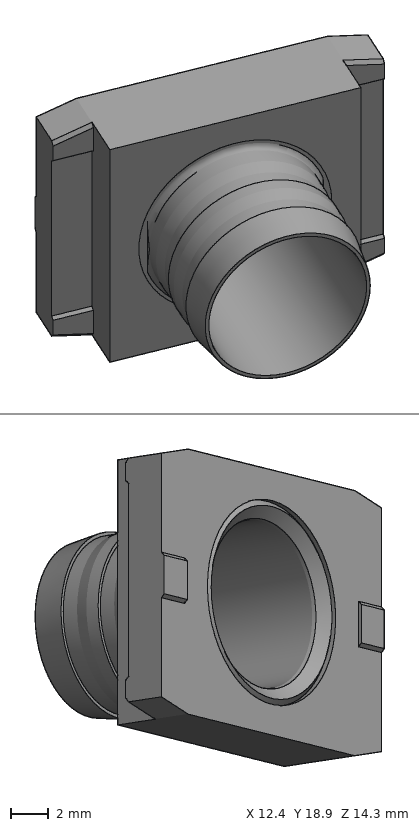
import cadquery as cq
import math

PLATE_WIDTH = 18.9
BLOCK_SIZE = 14.3
BLOCK_DEPTH = 4.75
EAR_DEPTH = 2.4
EAR_END_HEIGHT = 13.15

PAD_RISE = 0.19
PAD_OUTER_RUN = 0.23
PAD_INNER_RUN = 0.15
PAD_FOOT_Z = 5.22

LUG_HEIGHT = 0.19
LUG_LENGTH = 1.98
LUG_BASE_WIDTH = 2.45
LUG_TIP_WIDTH = 2.08

COLLAR_RADIUS = 5.5
BARB_RADIUS = 5.0
NECK_RADIUS = 4.82
TIP_RADIUS = 4.7
BORE_RADIUS = 4.5
NOZZLE_END = 12.2
ROOT_FILLET = 0.28
FIRST_CREST_END = 6.01
CREST_FALL = 0.77
NECK_LENGTH = 0.95
BARB_PITCH = 2.5
BARB_COUNT = 2

RIM_RADIUS = 5.18
COUNTERSINK_RADIUS = 4.55
COUNTERSINK_DEPTH = 0.59
LEAD_IN_DEPTH = 0.77


def make_block():
    return cq.Workplane("XY").box(BLOCK_DEPTH, BLOCK_SIZE, BLOCK_SIZE, centered=(False, True, True))


def ear_outline(inset):
    """Octagonal plate outline in YZ; the inset lowers its top and bottom edges."""
    half_width = PLATE_WIDTH / 2
    half_block = BLOCK_SIZE / 2
    top = half_block - inset
    end = EAR_END_HEIGHT / 2 - inset
    return [
        (half_width, -end), (half_width, end), (half_block, top), (-half_block, top),
        (-half_width, end), (-half_width, -end), (-half_block, -top), (half_block, -top),
    ]


def make_ears():
    """Tapered plate spanning both ears, with its sloped edges chamfered at the back."""
    web_depth = EAR_DEPTH - PAD_RISE
    web = cq.Workplane("YZ").polyline(ear_outline(0)).close().extrude(web_depth)
    pads = (
        cq.Workplane("YZ", origin=(web_depth, 0, 0)).polyline(ear_outline(0)).close()
        .workplane(offset=PAD_RISE).polyline(ear_outline(PAD_OUTER_RUN)).close()
        .loft(ruled=True)
    )
    pad_gap = (
        cq.Workplane("XZ")
        .polyline([
            (web_depth, -PAD_FOOT_Z), (EAR_DEPTH, -PAD_FOOT_Z - PAD_INNER_RUN),
            (EAR_DEPTH, PAD_FOOT_Z + PAD_INNER_RUN), (web_depth, PAD_FOOT_Z),
        ])
        .close()
        .extrude(PLATE_WIDTH / 2, both=True)
    )
    return web.union(pads.cut(pad_gap))


def make_lug(side):
    """Locating lug with sloped flanks, flush with the ear's end on the given Y side."""
    outer_y = side * PLATE_WIDTH / 2
    return (
        cq.Workplane("XZ", origin=(0, outer_y, 0))
        .polyline([
            (0, -LUG_BASE_WIDTH / 2), (-LUG_HEIGHT, -LUG_TIP_WIDTH / 2),
            (-LUG_HEIGHT, LUG_TIP_WIDTH / 2), (0, LUG_BASE_WIDTH / 2),
        ])
        .close()
        .extrude(side * LUG_LENGTH)
    )


def revolve_about_bore(profile):
    """Turn a closed (x, radius) profile about the X axis."""
    return cq.Workplane("XY").polyline(profile).close().revolve(360, (0, 0, 0), (1, 0, 0))


def make_collar():
    """Round collar that fills the plate's hole and ends flush with the block's back."""
    return cq.Workplane("YZ").circle(COLLAR_RADIUS).extrude(BLOCK_DEPTH)


def make_root_fillet():
    """Concave ring at the foot of the barbs, cut off flat at both Y sides."""
    fillet_end = BLOCK_DEPTH + ROOT_FILLET
    outer_radius = BARB_RADIUS + ROOT_FILLET
    arc_reach = ROOT_FILLET * (1 - math.sqrt(0.5))
    ring = (
        cq.Workplane("XY")
        .moveTo(BLOCK_DEPTH, 0)
        .lineTo(BLOCK_DEPTH, outer_radius)
        .threePointArc((BLOCK_DEPTH + arc_reach, BARB_RADIUS + arc_reach), (fillet_end, BARB_RADIUS))
        .lineTo(fillet_end, 0)
        .close()
        .revolve(360, (0, 0, 0), (1, 0, 0))
    )
    between_flats = cq.Workplane("XY", origin=(BLOCK_DEPTH, 0, 0)).box(
        ROOT_FILLET, 2 * BARB_RADIUS, 2 * outer_radius, centered=(False, True, True)
    )
    return ring.intersect(between_flats)


def make_barbs():
    """Two crests falling to necks, then the tapered tip barb, still without the bore."""
    profile = [(BLOCK_DEPTH, 0), (BLOCK_DEPTH, BARB_RADIUS)]
    for barb in range(BARB_COUNT):
        crest_end = FIRST_CREST_END + barb * BARB_PITCH
        neck_start = crest_end + CREST_FALL
        neck_end = neck_start + NECK_LENGTH
        profile += [
            (crest_end, BARB_RADIUS), (neck_start, NECK_RADIUS),
            (neck_end, NECK_RADIUS), (neck_end, BARB_RADIUS),
        ]
    profile += [(NOZZLE_END, TIP_RADIUS), (NOZZLE_END, 0)]
    return revolve_about_bore(profile)


def make_nozzle():
    bore = revolve_about_bore([
        (0, 0), (0, RIM_RADIUS), (COUNTERSINK_DEPTH, COUNTERSINK_RADIUS),
        (LEAD_IN_DEPTH, BORE_RADIUS), (NOZZLE_END, BORE_RADIUS), (NOZZLE_END, 0),
    ])
    rim_chamfer = revolve_about_bore([
        (0, RIM_RADIUS), (0, COLLAR_RADIUS), (COLLAR_RADIUS - RIM_RADIUS, COLLAR_RADIUS),
    ])
    outside = make_collar().union(make_barbs()).union(make_root_fillet())
    return outside.cut(bore).cut(rim_chamfer)


def make_plate():
    plate = make_block().union(make_ears())
    for side in (-1, 1):
        plate = plate.union(make_lug(side))
    return plate.cut(make_collar())


plate = make_plate()
nozzle = make_nozzle()

result = cq.Compound.makeCompound([plate.val(), nozzle.val()])